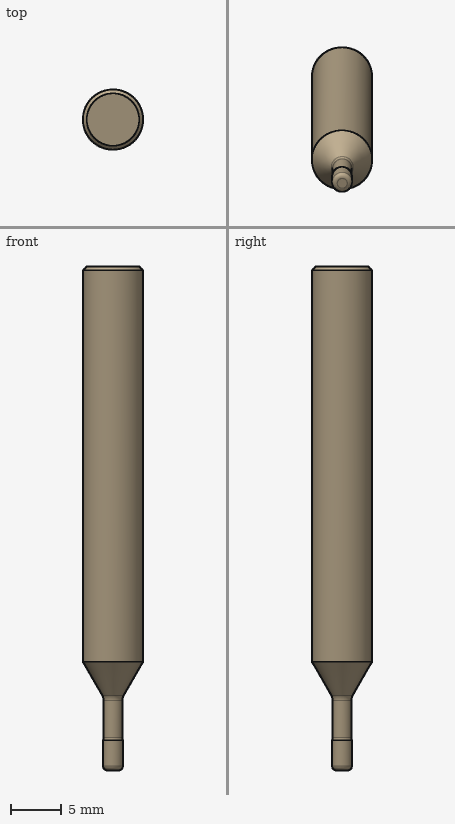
import cadquery as cq
import math

tool_length = 50.0
shank_radius = 6.0 / 2
shank_chamfer = 0.4

cutter_radius = 2.0 / 2
cutter_length = 3.0
tip_corner_radius = 0.5

neck_radius = 1.9 / 2
neck_top = 7.0
blend_radius = 1.0
cone_half_angle = math.radians(30)


def blend_point(start_z, angle, direction):
    """Radius and height on a blend arc that leaves the neck at start_z and has turned by angle."""
    radius = neck_radius + blend_radius * (1 - math.cos(angle))
    height = start_z + direction * blend_radius * math.sin(angle)
    return radius, height


def make_cutter():
    """Cylindrical cutting head with a rounded corner at its tip."""
    cutter = cq.Workplane("XY").circle(cutter_radius).extrude(cutter_length)
    return cutter.faces("<Z").edges().fillet(tip_corner_radius)


def make_shank():
    """Shank, cone and neck turned as one body above the cutting head."""
    lower_angle = math.acos(1 - (cutter_radius - neck_radius) / blend_radius)
    neck_bottom = cutter_length + blend_radius * math.sin(lower_angle)
    lower_middle = blend_point(neck_bottom, lower_angle / 2, -1)

    upper_middle = blend_point(neck_top, cone_half_angle / 2, 1)
    cone_start = blend_point(neck_top, cone_half_angle, 1)
    cone_top = cone_start[1] + (shank_radius - cone_start[0]) / math.tan(cone_half_angle)

    return (
        cq.Workplane("XZ")
        .moveTo(0, cutter_length)
        .lineTo(cutter_radius, cutter_length)
        .threePointArc(lower_middle, (neck_radius, neck_bottom))
        .lineTo(neck_radius, neck_top)
        .threePointArc(upper_middle, cone_start)
        .lineTo(shank_radius, cone_top)
        .lineTo(shank_radius, tool_length - shank_chamfer)
        .lineTo(shank_radius - shank_chamfer, tool_length)
        .lineTo(0, tool_length)
        .close()
        .revolve(360, (0, 0, 0), (0, 1, 0))
    )


cutter = make_cutter()
shank = make_shank()

result = cq.Compound.makeCompound([cutter.val(), shank.val()])